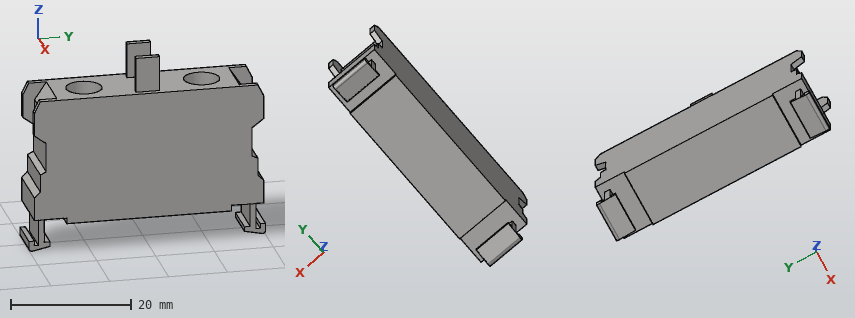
import cadquery as cq
import math

BODY_WIDTH = 10.0
BODY_LENGTH = 39.0
BODY_HEIGHT = 21.0
HALF_LENGTH = BODY_LENGTH / 2

TOP_CHAMFER_LENGTH = 1.0
TOP_CHAMFER_HEIGHT = 2.0
STEP_INSET = 1.0
WAIST_INSET = 2.0
EAR_DEPTH = 6.0
WAIST_TOP_DEPTH = 7.5
WAIST_BOTTOM_DEPTH = 12.5
STEP_TOP_DEPTH = 13.0
STEP_BOTTOM_DEPTH = 16.0
FOOT_TOP_DEPTH = 17.0
WAIST_Y = HALF_LENGTH - WAIST_INSET
STEP_Y = HALF_LENGTH - STEP_INSET

PLINTH_LENGTH = 28.0
PLINTH_HEIGHT = 1.0

EAR_THICKNESS = 1.0
RECESS_WIDTH = BODY_WIDTH - 2 * EAR_THICKNESS
RECESS_SLOPE_LENGTH = 2.0
RECESS_SLOPE_HEIGHT = 3.0

WELL_DIAMETER = 6.0
WELL_SPACING = 20.0
WELL_DEPTH = 4.0

BLADE_THICKNESS = 1.0
BLADE_LENGTH = 4.0
BLADE_HEIGHT = 6.0
BLADE_CENTER_X = (RECESS_WIDTH - BLADE_THICKNESS) / 2

HOOK_WIDTH = 7.0
HOOK_DEPTH = 6.0
HOOK_TIP_Y = 20.1
HOOK_HEEL_LENGTH = 1.0
HOOK_HEEL_Y = WAIST_Y - HOOK_HEEL_LENGTH
HOOK_HEEL_DEPTH = 4.55
HOOK_LIP_DEPTH = 4.2
HOOK_LIP_THICKNESS = 0.9
HOOK_CHANNEL_DEPTH = 5.0
HOOK_NOSE_RADIUS = 0.5
HOOK_SLOPE = math.radians(12)


def extrude_across(outline, width):
    """Extrude a YZ outline along X, centred on X = 0."""
    return outline.close().extrude(width / 2, both=True)


def make_block():
    """Block with the stepped and waisted profile at both ends."""
    end_profile = [
        (HALF_LENGTH - TOP_CHAMFER_LENGTH, BODY_HEIGHT),
        (HALF_LENGTH, BODY_HEIGHT - TOP_CHAMFER_HEIGHT),
        (HALF_LENGTH, BODY_HEIGHT - EAR_DEPTH),
        (WAIST_Y, BODY_HEIGHT - WAIST_TOP_DEPTH),
        (WAIST_Y, BODY_HEIGHT - WAIST_BOTTOM_DEPTH),
        (STEP_Y, BODY_HEIGHT - STEP_TOP_DEPTH),
        (STEP_Y, BODY_HEIGHT - STEP_BOTTOM_DEPTH),
        (HALF_LENGTH, BODY_HEIGHT - FOOT_TOP_DEPTH),
        (HALF_LENGTH, 0),
        (PLINTH_LENGTH / 2, 0),
        (PLINTH_LENGTH / 2, -PLINTH_HEIGHT),
    ]
    opposite_end = [(-y, z) for y, z in reversed(end_profile)]
    return extrude_across(cq.Workplane("YZ").polyline(end_profile + opposite_end), BODY_WIDTH)


def make_end_recess():
    """Cutter that opens the +Y end between the two side ears."""
    outline = cq.Workplane("YZ").polyline([
        (WAIST_Y - RECESS_SLOPE_LENGTH, BODY_HEIGHT),
        (WAIST_Y, BODY_HEIGHT - RECESS_SLOPE_HEIGHT),
        (WAIST_Y, BODY_HEIGHT - WAIST_TOP_DEPTH),
        (HALF_LENGTH, BODY_HEIGHT - WAIST_TOP_DEPTH),
        (HALF_LENGTH, BODY_HEIGHT),
    ])
    return extrude_across(outline, RECESS_WIDTH)


def make_hook():
    """Snap hook at the +Y end: stem, inner heel, sloped underside, rounded nose and lip."""
    nose_y = HOOK_TIP_Y - HOOK_NOSE_RADIUS
    nose_z = HOOK_NOSE_RADIUS - HOOK_DEPTH
    lip_y = HOOK_TIP_Y - HOOK_LIP_THICKNESS

    def nose_point(angle):
        return (
            nose_y + HOOK_NOSE_RADIUS * math.cos(angle),
            nose_z + HOOK_NOSE_RADIUS * math.sin(angle),
        )

    tangent_angle = -math.pi / 2 - HOOK_SLOPE
    tangent_y, tangent_z = nose_point(tangent_angle)
    heel_bottom_z = tangent_z + (tangent_y - HOOK_HEEL_Y) * math.tan(HOOK_SLOPE)

    outline = (
        cq.Workplane("YZ")
        .moveTo(WAIST_Y, 0)
        .lineTo(WAIST_Y, -HOOK_HEEL_DEPTH)
        .lineTo(HOOK_HEEL_Y, -HOOK_HEEL_DEPTH)
        .lineTo(HOOK_HEEL_Y, heel_bottom_z)
        .lineTo(tangent_y, tangent_z)
        .threePointArc(nose_point(tangent_angle / 2), nose_point(0))
        .lineTo(HOOK_TIP_Y, -HOOK_LIP_DEPTH)
        .lineTo(lip_y, -HOOK_LIP_DEPTH)
        .lineTo(lip_y, -HOOK_CHANNEL_DEPTH)
        .lineTo(STEP_Y, -HOOK_CHANNEL_DEPTH)
        .lineTo(STEP_Y, 0)
    )
    return extrude_across(outline, HOOK_WIDTH)


def make_blades():
    """Pair of contact blades standing on the top face."""
    return (
        cq.Workplane("XY")
        .workplane(offset=BODY_HEIGHT)
        .pushPoints([(-BLADE_CENTER_X, 0), (BLADE_CENTER_X, 0)])
        .rect(BLADE_THICKNESS, BLADE_LENGTH)
        .extrude(BLADE_HEIGHT)
    )


def make_wells():
    """Cutters for the two round wells."""
    return (
        cq.Workplane("XY")
        .workplane(offset=BODY_HEIGHT)
        .pushPoints([(0, -WELL_SPACING / 2), (0, WELL_SPACING / 2)])
        .circle(WELL_DIAMETER / 2)
        .extrude(-WELL_DEPTH)
    )


recess = make_end_recess()
hook = make_hook()

result = (
    make_block()
    .cut(make_wells())
    .cut(recess)
    .cut(recess.mirror("XZ"))
    .union(make_blades())
    .union(hook)
    .union(hook.mirror("XZ"))
)